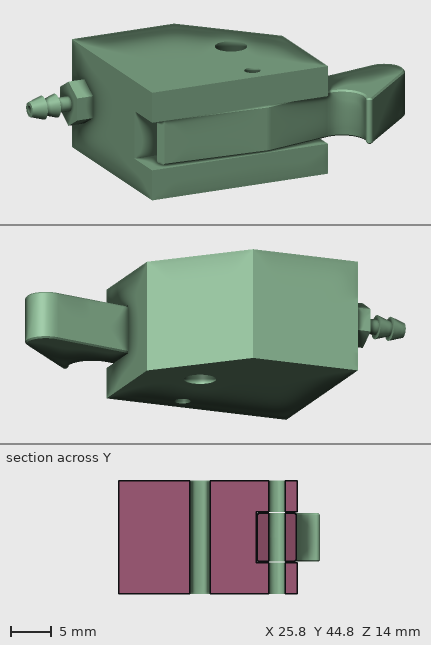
import cadquery as cq
import math


block_width = 23.0
block_length = 24.0
block_height = 14.0
corner_cut = 10.0
mount_hole_x = 11.0
mount_hole_y = 16.5
mount_hole_diameter = 4.0

pivot_x = 20.5
pivot_y = 14.9
pivot_diameter = 2.0

lever_tilt = 11.6
lever_width = 5.05
lever_offset = 0.1
lever_thickness = 5.95
lever_chamfer = 0.2
head_distance = 20.3
tail_distance = 12.9
tail_width = 1.53
shoulder_distance = 0.6
shoulder_round = 2.25
notch_distance = 9.65
notch_radius = 2.95

hook_normal = 32
hook_angle = 55

slot_wall_x = 18.0
slot_height = 6.2

fitting_x = 3.6
hex_sides = 6
hex_across_flats = 5.0
hex_thickness = 2.15
neck_diameter = 1.9
neck_length = 1.75
barb_diameter = 3.0
barb_length = 1.8
barb_count = 2
bore_diameter = 1.0

half_lever = lever_width / 2
tilt = math.radians(lever_tilt)


def lever_to_block(across, along):
    """Turn a point on the lever, measured from its axis at the pivot, into block X and Y."""
    across = across + lever_offset
    x = pivot_x + across * math.cos(tilt) - along * math.sin(tilt)
    y = pivot_y + across * math.sin(tilt) + along * math.cos(tilt)
    return x, y


def pivot_hole(height):
    """Cutter for the vertical pivot hole."""
    pivot = cq.Workplane("XY").center(pivot_x, pivot_y).circle(pivot_diameter / 2)
    return pivot.extrude(height, both=True)


def lever_slot():
    """Slot open at +X, +Y and -Y; beyond the pivot its wall follows the tilted lever."""
    lever_side_x, lever_side_y = lever_to_block(-half_lever, 0)
    bend_y = lever_side_y - (slot_wall_x - lever_side_x) / math.tan(tilt)
    top_x = slot_wall_x - (block_length - bend_y) * math.tan(tilt)
    points = [
        (slot_wall_x, 0),
        (slot_wall_x, bend_y),
        (top_x, block_length),
        (block_width, block_length),
        (block_width, 0),
    ]
    return cq.Workplane("XY").polyline(points).close().extrude(slot_height / 2, both=True)


def make_block():
    """Block with one cut corner, a mounting hole, the pivot hole and the lever slot."""
    outline = [
        (0, 0),
        (block_width, 0),
        (block_width, block_length),
        (corner_cut, block_length),
        (0, block_length - corner_cut),
    ]
    block = cq.Workplane("XY").polyline(outline).close().extrude(block_height / 2, both=True)
    mount_hole = (
        cq.Workplane("XY")
        .center(mount_hole_x, mount_hole_y)
        .circle(mount_hole_diameter / 2)
        .extrude(block_height, both=True)
    )
    return block.cut(lever_slot()).cut(mount_hole).cut(pivot_hole(block_height))


def polar(centre, radius, degrees):
    """Point at a distance and direction from a centre."""
    angle = math.radians(degrees)
    return centre[0] + radius * math.cos(angle), centre[1] + radius * math.sin(angle)


def make_lever():
    """Lever drawn upright with its axis through the origin, then tilted into place."""
    head_centre = (0, head_distance)
    head_left = (-half_lever, head_distance)
    head_middle = polar(head_centre, half_lever, (180 + hook_normal) / 2)
    head_end = polar(head_centre, half_lever, hook_normal)

    notch_centre = (half_lever + notch_radius, notch_distance)
    notch_start = (half_lever, notch_distance)
    notch_middle = polar(notch_centre, notch_radius, (180 + hook_angle) / 2)
    notch_end = polar(notch_centre, notch_radius, hook_angle)

    normal = math.radians(hook_normal)
    back_offset = half_lever + (head_distance - notch_centre[1]) * math.sin(normal)
    back_offset -= notch_centre[0] * math.cos(normal)
    hook_radius = back_offset / math.cos(math.radians(hook_angle - hook_normal))
    hook_end = polar(notch_centre, hook_radius, hook_angle)
    hook_bulge = (hook_radius - notch_radius) / 2
    tip_centre = polar(notch_centre, notch_radius + hook_bulge, hook_angle)
    hook_tip = polar(tip_centre, hook_bulge, hook_angle - 90)

    tail_left = (-half_lever, -tail_distance)
    tail_right = (tail_width - half_lever, -tail_distance)
    shoulder = (half_lever, shoulder_distance)

    lever = (
        cq.Workplane("XY")
        .moveTo(*tail_left)
        .lineTo(*head_left)
        .threePointArc(head_middle, head_end)
        .lineTo(*hook_end)
        .threePointArc(hook_tip, notch_end)
        .threePointArc(notch_middle, notch_start)
        .lineTo(*shoulder)
        .lineTo(*tail_right)
        .close()
        .extrude(lever_thickness / 2, both=True)
    )
    lever = lever.edges(cq.selectors.NearestToPointSelector((*shoulder, 0))).fillet(shoulder_round)
    lever = lever.faces("|Z").edges("not <Y").chamfer(lever_chamfer)
    lever = lever.rotate((0, 0, 0), (0, 0, 1), lever_tilt)
    lever = lever.translate((*lever_to_block(0, 0), 0))
    return lever.cut(pivot_hole(lever_thickness))


def make_fitting():
    """Fitting drawn along its own axis, then turned to point towards -Y."""
    half_side_angle = 180 / hex_sides
    across_corners = hex_across_flats / math.cos(math.radians(half_side_angle))
    hexagon = cq.Workplane("XY").polygon(hex_sides, across_corners).extrude(hex_thickness)
    hexagon = hexagon.rotate((0, 0, 0), (0, 0, 1), half_side_angle)

    neck_end = hex_thickness + neck_length
    fitting_length = neck_end + barb_count * barb_length
    fitting = hexagon.union(cq.Workplane("XY").circle(neck_diameter / 2).extrude(neck_end))
    for index in range(barb_count):
        barb = (
            cq.Workplane("XY", origin=(0, 0, neck_end + index * barb_length))
            .circle(barb_diameter / 2)
            .workplane(offset=barb_length)
            .circle(neck_diameter / 2)
            .loft()
        )
        fitting = fitting.union(barb)
    fitting = fitting.cut(cq.Workplane("XY").circle(bore_diameter / 2).extrude(fitting_length))
    return fitting.rotate((0, 0, 0), (1, 0, 0), 90).translate((fitting_x, 0, 0))


block = make_block()
lever = make_lever()
fitting = make_fitting()

bodies = [block, lever, fitting]
result = cq.Compound.makeCompound([body.solids().val() for body in bodies])